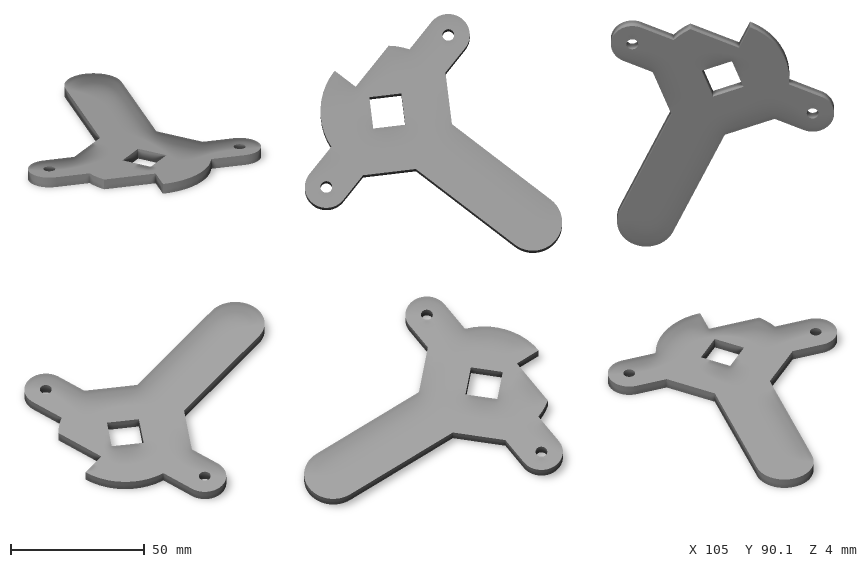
import cadquery as cq
import math

thickness = 4.0
length = 105.0
disc_radius = 25.0
handle_width = 21.8
ear_width = 16.1
ear_hole_offset = 37.0
ear_hole_diameter = 4.4
square_side = 12.1
notch_x = 15.0
web_y = 25.0

handle_radius = handle_width / 2
ear_radius = ear_width / 2
handle_end_x = disc_radius - length + handle_radius
web_x = -ear_radius - (web_y - handle_radius)


def slot_arm(start, end, width):
    """Straight arm with round ends centred on start and end."""
    dx = end[0] - start[0]
    dy = end[1] - start[1]
    span = math.hypot(dx, dy)
    angle = math.degrees(math.atan2(dy, dx))
    middle = ((start[0] + end[0]) / 2, (start[1] + end[1]) / 2)
    return cq.Workplane("XY").center(*middle).slot2D(span + width, width, angle).extrude(thickness)


def notched_half_disc():
    """Right half of a disc, its lower edge cut back to a straight step."""
    half_disc = (
        cq.Workplane("XY")
        .moveTo(0, -disc_radius)
        .threePointArc((disc_radius, 0), (0, disc_radius))
        .close()
        .extrude(thickness)
    )
    notch = (
        cq.Workplane("XY")
        .moveTo(notch_x, 0)
        .rect(disc_radius, -disc_radius, centered=False)
        .extrude(thickness)
    )
    return half_disc.cut(notch)


def web():
    """Tapered web joining the handle to both ears."""
    outline = [
        (web_x, handle_radius),
        (-ear_radius, web_y),
        (0, web_y),
        (0, -web_y),
        (-ear_radius, -web_y),
        (web_x, -handle_radius),
    ]
    return cq.Workplane("XY").polyline(outline).close().extrude(thickness)


ear_centres = [(0, ear_hole_offset), (0, -ear_hole_offset)]

plate = notched_half_disc().union(web())
plate = plate.union(slot_arm((handle_end_x, 0), (0, 0), handle_width))
for ear_centre in ear_centres:
    plate = plate.union(slot_arm((0, 0), ear_centre, ear_width))

ear_holes = cq.Workplane("XY").pushPoints(ear_centres).circle(ear_hole_diameter / 2).extrude(thickness)
square_hole = (
    cq.Workplane("XY")
    .transformed(rotate=(0, 0, 45))
    .rect(square_side, square_side)
    .extrude(thickness)
)

result = plate.cut(ear_holes).cut(square_hole)